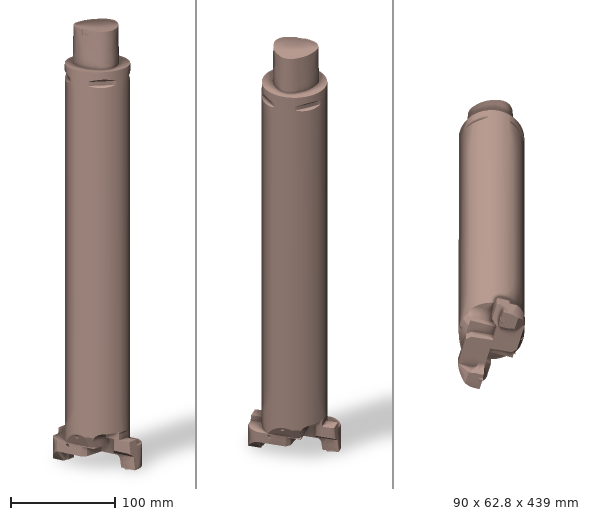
import cadquery as cq
import math

overall_height = 439.0
shank_radius = 31.4
shank_top = 401.5

flank_radius = 20.5
lobe_radius = 23.5
blend_radius = 22.0
flank_angles = (30, 150, 270)
lobe_pitch = 60
blend_angle = 34.2
coupling_taper = 0.9
key_slot_width = 8.0
key_slot_height = 5.5
key_slot_depth = 1.8

groove_angles = (45, 135, 225, 315)
groove_depth = 3.0
groove_floor_top = 391.5
groove_floor_bottom = 387.5
groove_mouth_top = 394.0
groove_mouth_bottom = 385.5

side_angles = (0, 180)
head_bottom = 1.0
head_bottom_half_width = 15.0
head_half_width = 25.0
bevel_top = 12.7
wing_top = 23.5
block_top = 30.0
block_half_width = 6.0
slope_top = 36.5
flat_distance = 30.0
flat_top = 36.0
flat_runout = 37.8

wing_reach = 44.5
wing_corner_radius = 22.0
wing_corner_y = 4.5
wing_nose_radius = 5.5
wing_top_reach = 41.7

gap_half_width = 28.0
gap_top_half_width = 26.5
gap_fillet = 4.5
relief_half_width = 29.0
relief_y = 6.0
relief_corner = 6.0

pocket_wall_x = 14.5
pocket_ceiling = 38.0
pocket_fillet = 8.0
undercut_wall_x = 3.0
undercut_root_x = 5.0
undercut_top = 23.0
undercut_bevel = 4.0
slope_bevel_x = 8.0
slope_bevel_depth = 2.5
support_left = 19.8
support_bottom = 14.0
support_slope = 36.0

coolant_diameter = 4.0
coolant_depth = 9.0
coolant_places = [(-17.0, 20.5), (-2.5, 33.5)]

insert_side = 12.7
insert_corner_radius = 1.0
insert_tilt = 8.0
insert_face_y = -0.5
insert_thickness = 4.0
insert_clearance = 7.0
insert_tip_reach = 45.0
chip_breaker_land = 1.5
chip_breaker_depth = 0.5
screw_diameter = 4.0
screw_length = 9.5

clear = 88.0
tilt = math.radians(insert_tilt)
insert_half_extent = (
    (insert_side / 2 - insert_corner_radius) * (math.cos(tilt) + math.sin(tilt)) + insert_corner_radius
)
insert_x = insert_tip_reach - insert_half_extent
insert_z = insert_half_extent


def box(x0, x1, y0, y1, z0, z1):
    """Box between opposite corners."""
    return cq.Workplane("XY").box(x1 - x0, y1 - y0, z1 - z0, centered=False).translate((x0, y0, z0))


def turned(shape, degrees):
    """The shape turned about the tool axis."""
    return shape.rotate((0, 0, 0), (0, 0, 1), degrees)


def facing_front(y):
    """XZ workplane at the given Y, extruding toward +Y; its local x is +X and its local y is -Z."""
    return cq.Workplane(cq.Plane(origin=(0, y, 0), xDir=(1, 0, 0), normal=(0, 1, 0)))


def polar(radius, degrees):
    """Point at a distance and direction from the axis."""
    angle = math.radians(degrees)
    return (radius * math.cos(angle), radius * math.sin(angle))


def make_coupling():
    """Three-lobed polygon with one lobe toward +Y and a key slot toward -Y."""
    start = polar(blend_radius, flank_angles[0] - blend_angle)
    outline = cq.Workplane("XY", origin=(0, 0, shank_top)).moveTo(*start)
    for flank in flank_angles:
        flank_end = polar(blend_radius, flank + blend_angle)
        lobe_end = polar(blend_radius, flank + 2 * lobe_pitch - blend_angle)
        outline = outline.threePointArc(polar(flank_radius, flank), flank_end)
        outline = outline.threePointArc(polar(lobe_radius, flank + lobe_pitch), lobe_end)
    coupling = outline.close().extrude(overall_height - shank_top, taper=coupling_taper)
    key_slot = box(
        -key_slot_width / 2, key_slot_width / 2,
        -lobe_radius, key_slot_depth - flank_radius,
        overall_height - key_slot_height, overall_height,
    )
    return coupling.cut(key_slot)


def make_gripper_groove():
    """Straight trapezoidal groove across the +X side of the shank."""
    floor = shank_radius - groove_depth
    return (
        cq.Workplane("XZ")
        .polyline([
            (floor, groove_floor_bottom), (floor, groove_floor_top),
            (shank_radius, groove_mouth_top), (shank_radius, groove_mouth_bottom),
        ])
        .close()
        .extrude(shank_radius, both=True)
    )


def make_flat():
    """Cut that leaves a flat on the +X side, with a sloped upper end."""
    return (
        cq.Workplane("XZ")
        .polyline([
            (flat_distance, 0), (flat_distance, flat_top), (shank_radius, flat_runout), (shank_radius, 0),
        ])
        .close()
        .extrude(shank_radius, both=True)
    )


def make_wing():
    """Wing on the +X side: a low part with a rounded corner and a taller block toward -Y."""
    corner_x = wing_reach - wing_corner_radius
    wing = (
        cq.Workplane("XY", origin=(0, 0, head_bottom))
        .moveTo(0, -block_half_width)
        .lineTo(wing_reach - wing_nose_radius, -block_half_width)
        .radiusArc((wing_reach, wing_nose_radius - block_half_width), -wing_nose_radius)
        .lineTo(wing_reach, wing_corner_y)
        .radiusArc((corner_x, wing_corner_y + wing_corner_radius), -wing_corner_radius)
        .lineTo(0, wing_corner_y + wing_corner_radius)
        .close()
        .extrude(block_top - head_bottom)
    )
    step = box(0, clear, block_half_width, clear, wing_top, clear)
    leaning_face = (
        cq.Workplane("XZ")
        .polyline([(wing_reach, head_bottom), (wing_top_reach, block_top), (wing_reach, block_top)])
        .close()
        .extrude(clear, both=True)
    )
    return wing.cut(step).cut(leaning_face)


def make_side_limits():
    """Prism along X with the bevelled and sloped outline of the head, open to the shank above."""
    half = [
        (head_bottom_half_width, head_bottom),
        (head_half_width, bevel_top),
        (head_half_width, wing_top),
        (shank_radius, slope_top),
        (shank_radius, overall_height),
    ]
    mirrored = [(-y, z) for y, z in reversed(half)]
    return cq.Workplane("YZ").polyline(half + mirrored).close().extrude(clear, both=True)


def make_leg_gap():
    """Space under the bridge: a filleted channel along Y that widens toward both ends."""
    channel = (
        cq.Workplane("XZ")
        .polyline([
            (-gap_half_width, head_bottom), (-gap_top_half_width, bevel_top),
            (gap_top_half_width, bevel_top), (gap_half_width, head_bottom),
        ])
        .close()
        .extrude(clear, both=True)
        .edges("|Y and >Z")
        .fillet(gap_fillet)
    )
    relief = box(-relief_half_width, relief_half_width, relief_y, clear, head_bottom, bevel_top)
    relief = relief.edges("|Z and <Y").fillet(relief_corner)
    return channel.union(relief).union(turned(relief, 180))


def make_chip_pocket():
    """Pocket in front of the +X insert, leaving the sloped-sided support above the insert."""
    upper = box(pocket_wall_x, clear, -clear, -block_half_width, 0, pocket_ceiling)
    upper = upper.edges("|Y and >Z and <X").fillet(pocket_fillet)
    lower = box(pocket_wall_x, clear, -clear, 0, 0, block_top)
    bevel_run = clear - head_half_width + undercut_bevel
    undercut = (
        cq.Workplane("XY")
        .polyline([
            (undercut_root_x, 0),
            (undercut_wall_x, undercut_bevel - head_half_width),
            (undercut_wall_x - bevel_run, -clear),
            (clear, -clear),
            (clear, 0),
        ])
        .close()
        .extrude(undercut_top)
    )
    support = (
        cq.Workplane("XZ")
        .moveTo(support_left, support_bottom)
        .rect(clear, clear, centered=False)
        .extrude(block_half_width, taper=support_slope)
    )
    return lower.union(undercut).cut(support).union(upper).union(make_slope_bevel())


def make_slope_bevel():
    """Wedge following the -Y sloped face, deepest at the pocket wall."""
    def section(y_face):
        return [
            cq.Vector(slope_bevel_x, y_face),
            cq.Vector(pocket_wall_x, y_face + slope_bevel_depth),
            cq.Vector(pocket_wall_x, y_face - slope_bevel_depth),
        ]

    lower = cq.Wire.makePolygon(section(-head_half_width), close=True)
    upper = cq.Wire.makePolygon(section(-shank_radius), close=True)
    wedge = cq.Solid.makeLoft(
        [lower.translate(cq.Vector(0, 0, wing_top)), upper.translate(cq.Vector(0, 0, slope_top))], True
    )
    return cq.Workplane("XY").add(wedge)


def make_coolant_holes():
    """Blind holes along Y, drilled from the -Y side."""
    return (
        facing_front(-shank_radius)
        .pushPoints([(x, -z) for x, z in coolant_places])
        .circle(coolant_diameter / 2)
        .extrude(shank_radius - head_half_width + coolant_depth)
    )


def make_insert_square(side, depth, taper):
    """Tilted square on the +X side, from the cutting face toward +Y, narrowing by the taper."""
    outline = cq.Sketch().rect(side, side).vertices().fillet(insert_corner_radius)
    return (
        facing_front(insert_face_y)
        .placeSketch(outline)
        .extrude(depth, taper=taper)
        .rotate((0, 0, 0), (0, 1, 0), -insert_tilt)
        .translate((insert_x, 0, insert_z))
    )


def make_insert_blank():
    """Outer shape of an insert, also the shape of its seat."""
    return make_insert_square(insert_side, insert_thickness, insert_clearance)


def make_screw():
    """Plain round screw along Y, flush with the floor of the chip breaker."""
    return (
        facing_front(insert_face_y + chip_breaker_depth)
        .center(insert_x, -insert_z)
        .circle(screw_diameter / 2)
        .extrude(screw_length)
    )


def make_insert():
    """Square insert with a sunken chip-breaker floor and a hole for its screw."""
    floor_side = insert_side - 2 * chip_breaker_land
    chip_breaker = make_insert_square(floor_side, chip_breaker_depth, 0)
    return make_insert_blank().cut(chip_breaker).cut(make_screw())


def make_holder():
    """Shank, coupling and cutting head in one piece."""
    base = cq.Workplane("XY", origin=(0, 0, head_bottom))
    holder = base.circle(shank_radius).extrude(shank_top - head_bottom)
    flat = make_flat()
    wing = make_wing()
    for angle in side_angles:
        holder = holder.cut(turned(flat, angle))
    for angle in side_angles:
        holder = holder.union(turned(wing, angle))
    holder = holder.intersect(make_side_limits()).cut(make_leg_gap())

    pocket = make_chip_pocket()
    coolant_holes = make_coolant_holes()
    insert_seat = make_insert_blank().union(make_screw())
    for angle in side_angles:
        for hollow in (pocket, coolant_holes, insert_seat):
            holder = holder.cut(turned(hollow, angle))

    groove = make_gripper_groove()
    for angle in groove_angles:
        holder = holder.cut(turned(groove, angle))
    return holder.union(make_coupling())


holder = make_holder()
inserts = []
screws = []
for angle in side_angles:
    inserts.append(turned(make_insert(), angle).val())
    screws.append(turned(make_screw(), angle).val())

result = cq.Compound.makeCompound([holder.val(), *inserts, *screws])